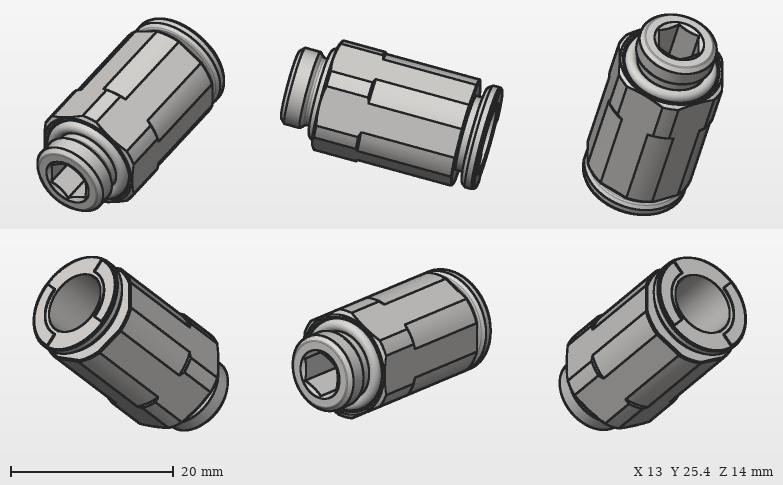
import cadquery as cq
import math


total_length = 25.35
pad_height = 0.13

thread_radius = 4.87
thread_chamfer = 0.58
thread_edge_round = 0.2
thread_end = 2.54
neck_radius = 4.28
neck_root_round = 0.43

socket_across_flats = 5.0
socket_mouth_radius = 3.12
socket_mouth_slope = 30.0

hex_across_flats = 13.0
hex_start = 4.6
base_corner_radius = 7.0
base_chamfer_rise = 0.3
base_face_radius = 6.41
base_end = 10.25
grip_corner_radius = 6.77
housing_end = 22.5
housing_edge_length = 0.2
housing_edge_depth = 0.1

seal_section_radius = 0.79
seal_center_radius = neck_radius + seal_section_radius
seal_recess_radius = 6.08

button_radius = hex_across_flats / 2
button_face = total_length - pad_height
flange_start = 23.58
flange_chamfer_length = 0.6
flange_chamfer_depth = 0.45
flange_edge_round = 0.3
button_edge_length = 0.2
button_edge_depth = 0.1
sleeve_radius = 4.75
sleeve_root_round = 0.15
tube_bore_radius = 4.0

pad_inner_radius = 4.56
pad_outer_radius = 6.29
pad_half_angle = 48.0

step_rise = base_corner_radius - grip_corner_radius
grip_start = base_end + step_rise
neck_start = thread_end + thread_radius - neck_radius
recess_floor = hex_start + seal_section_radius
sleeve_start = grip_start
socket_cone_depth = socket_mouth_radius * math.tan(math.radians(socket_mouth_slope))


def revolve_profile(points):
    """Solid of revolution about Y from (radius, y) points."""
    return cq.Workplane("XY").polyline(points).close().revolve(360, (0, 0, 0), (0, 1, 0))


def along_y(start):
    """Workplane at y = start whose extrusions run toward +Y."""
    return cq.Workplane("XZ", origin=(0, start, 0)).transformed(rotate=(180, 0, 0))


def hex_prism(across_flats, start, end):
    """Hexagonal prism along Y with corners at +Z and -Z."""
    corner_diameter = across_flats / math.cos(math.pi / 6)
    return along_y(start).transformed(rotate=(0, 0, 90)).polygon(6, corner_diameter).extrude(end - start)


def circle_at(radius, y):
    """Selector for the circular edges around Y, up to the given radius, at one y."""
    margin = 0.013
    reach = radius + margin
    return cq.selectors.BoxSelector(
        (-reach, y - margin, -reach), (reach, y + margin, reach), boundingbox=True
    )


def make_stud():
    """Threaded end with chamfered tip and rounded neck, reaching into the housing."""
    stud = revolve_profile([
        (0, 0),
        (thread_radius - thread_chamfer, 0),
        (thread_radius, thread_chamfer),
        (thread_radius, thread_end),
        (neck_radius, neck_start),
        (neck_radius, recess_floor),
        (0, recess_floor),
    ])
    stud = stud.edges(circle_at(thread_radius - thread_chamfer, 0)).fillet(thread_edge_round)
    return stud.edges(circle_at(neck_radius, neck_start)).fillet(neck_root_round)


def make_hex_shell():
    """Hexagon with turned corners: a wide base, a slimmer grip and a recess for the seal."""
    hexagon = hex_prism(hex_across_flats, hex_start, housing_end)
    turned = revolve_profile([
        (0, hex_start),
        (base_face_radius, hex_start),
        (base_corner_radius, hex_start + base_chamfer_rise),
        (base_corner_radius, base_end),
        (grip_corner_radius, grip_start),
        (grip_corner_radius, housing_end),
        (0, housing_end),
    ])
    shell = hexagon.intersect(turned)
    shell = shell.faces(">Y").chamfer(housing_edge_length, housing_edge_depth)
    recess = along_y(hex_start).circle(seal_recess_radius).extrude(seal_section_radius)
    return shell.cut(recess)


def make_socket():
    """Hexagon socket with a conical mouth, as a cutter."""
    mouth = revolve_profile([(0, 0), (socket_mouth_radius, 0), (0, socket_cone_depth)])
    return hex_prism(socket_across_flats, 0, sleeve_start).union(mouth)


def make_housing():
    """Hexagonal body and threaded stud in one piece, with socket and sleeve bore."""
    sleeve_bore = along_y(sleeve_start).circle(sleeve_radius).extrude(housing_end - sleeve_start)
    return make_hex_shell().union(make_stud()).cut(make_socket()).cut(sleeve_bore)


def make_seal():
    """O-ring around the neck, touching it and the recess floor."""
    section = cq.Workplane("XY").center(seal_center_radius, hex_start).circle(seal_section_radius)
    return section.revolve(360, (-seal_center_radius, 0, 0), (-seal_center_radius, 1, 0))


def make_pad(middle_angle):
    """Raised arc on the button face, centred on the given angle from +X."""
    def point(radius, offset):
        angle = math.radians(middle_angle + offset)
        return radius * math.cos(angle), radius * math.sin(angle)

    return (
        along_y(button_face)
        .moveTo(*point(pad_inner_radius, -pad_half_angle))
        .lineTo(*point(pad_outer_radius, -pad_half_angle))
        .threePointArc(point(pad_outer_radius, 0), point(pad_outer_radius, pad_half_angle))
        .lineTo(*point(pad_inner_radius, pad_half_angle))
        .threePointArc(point(pad_inner_radius, 0), point(pad_inner_radius, -pad_half_angle))
        .close()
        .extrude(pad_height)
    )


def make_button():
    """Flanged release button whose sleeve fills the housing bore."""
    flange_face_radius = button_radius - flange_chamfer_depth
    button = revolve_profile([
        (tube_bore_radius, sleeve_start),
        (sleeve_radius, sleeve_start),
        (sleeve_radius, flange_start),
        (flange_face_radius, flange_start),
        (button_radius, flange_start + flange_chamfer_length),
        (button_radius, button_face - button_edge_length),
        (button_radius - button_edge_depth, button_face),
        (tube_bore_radius, button_face),
    ])
    outer_edge = button.edges(circle_at(flange_face_radius, flange_start)).edges(
        cq.selectors.RadiusNthSelector(-1)
    )
    button = outer_edge.fillet(flange_edge_round)
    button = button.edges(circle_at(sleeve_radius, flange_start)).fillet(sleeve_root_round)
    for middle_angle in (0, 180):
        button = button.union(make_pad(middle_angle))
    return button


housing = make_housing()
seal = make_seal()
button = make_button()

result = cq.Compound.makeCompound([housing.solids().val(), seal.val(), button.solids().val()])